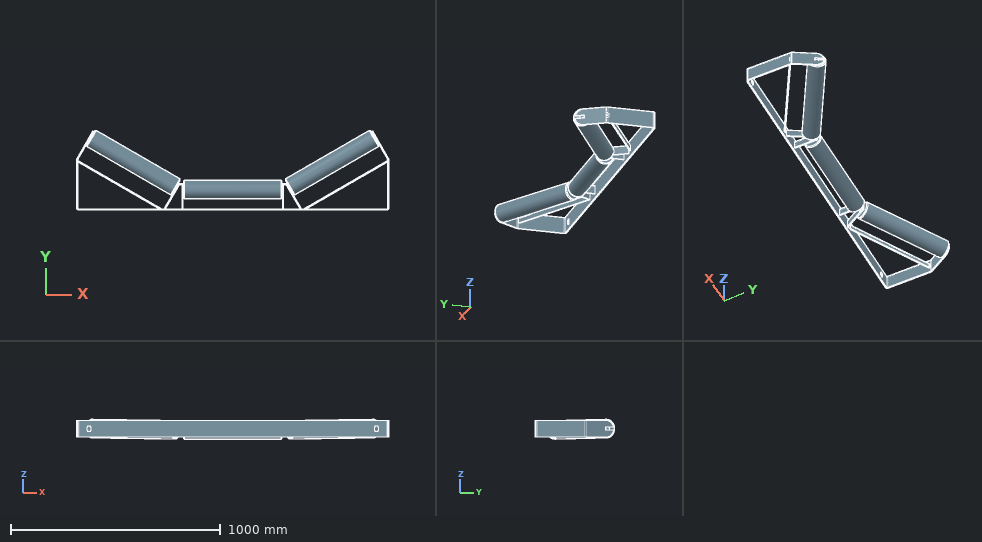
import cadquery as cq
import math

half_length = 745.0
strip_thickness = 6.0
strip_height = 80.0
strip_bottom = 9.7
strip_middle = strip_bottom + strip_height / 2
corner_radius = 12.0
bend_radius = 21.0

trough_angle = 30.0
forward_tilt = 0.74
roller_radius = 45.0
roller_length = 470.0
roller_chamfer = 5.0
center_axis_y = 98.0
wing_middle_x = 474.0
wing_middle_y = 226.0
wing_rise = 3.3

bracket_spacing = 474.0
axle_radius = 10.0
axle_flat_width = 13.0
axle_length = bracket_spacing + 2 * strip_thickness
slot_cut_length = 60.0
slot_cut_overrun = 1.0

tip_drop = 6.0

inner_bracket_top = 127.0
inner_bracket_height = 40.0
brace_height = 25.0
brace_upper_y = 237.0

mounting_slot_x = 685.0
mounting_slot_width = 18.0
mounting_slot_height = 27.0

along = (math.cos(math.radians(trough_angle)), -math.sin(math.radians(trough_angle)))
upward = (-along[1], along[0])


def left_wing_point(distance):
    """Point on the left wing axis, measured inwards from the middle of its roller."""
    return (-wing_middle_x + distance * along[0], wing_middle_y + distance * along[1])


def slide_to_x(point, direction, x):
    """Where the line through point along direction reaches the given X."""
    return (x, point[1] + (x - point[0]) * direction[1] / direction[0])


def slide_to_y(point, direction, y):
    """Where the line through point along direction reaches the given Y."""
    return (point[0] + (y - point[1]) * direction[0] / direction[1], y)


def mirrored(points):
    """The same path on the right-hand side, walked the other way."""
    return [(-x, y) for x, y in reversed(points)]


def strip(path, height):
    """Bar on edge with mitred corners; its thickness lies on the left of the path."""
    normals = []
    for (x0, y0), (x1, y1) in zip(path, path[1:]):
        run = math.hypot(x1 - x0, y1 - y0)
        normals.append(((y0 - y1) / run, (x1 - x0) / run))
    before = [normals[0]] + normals
    after = normals + [normals[-1]]
    inner = []
    for (x, y), a, b in zip(path, before, after):
        miter = strip_thickness / (1 + a[0] * b[0] + a[1] * b[1])
        inner.append((x + miter * (a[0] + b[0]), y + miter * (a[1] + b[1])))
    return (
        cq.Workplane("XY", origin=(0, 0, strip_middle - height / 2))
        .polyline(path + inner[::-1])
        .close()
        .extrude(height)
    )


def place(body, side):
    """Move a body built along X to the left wing (-1), the centre (0) or the right wing (1)."""
    if side == 0:
        return body.translate((0, center_axis_y, roller_radius))
    return (
        body.rotate((0, 0, 0), (0, 1, 0), -side * forward_tilt)
        .rotate((0, 0, 0), (0, 0, 1), side * trough_angle)
        .translate((side * wing_middle_x, wing_middle_y, roller_radius + wing_rise))
    )


def make_roller(side):
    shell = (
        cq.Workplane("YZ", origin=(-roller_length / 2, 0, 0))
        .circle(roller_radius)
        .extrude(roller_length)
        .faces("|X")
        .chamfer(roller_chamfer)
    )
    flats = cq.Workplane("XY").box(axle_length, 2 * axle_radius, axle_flat_width)
    axle = (
        cq.Workplane("YZ", origin=(-axle_length / 2, 0, 0))
        .circle(axle_radius)
        .extrude(axle_length)
        .intersect(flats)
    )
    return place(shell.union(axle), side)


def make_axle_slots(side):
    """Cutters for the two bracket slots of one roller, as wide as the axle flats."""
    reach = strip_thickness + 2 * slot_cut_overrun
    slots = (
        cq.Workplane("XY", origin=(0, slot_cut_length / 2 - axle_radius, 0))
        .pushPoints([(end * (bracket_spacing + strip_thickness) / 2, 0) for end in (-1, 1)])
        .box(reach, slot_cut_length, axle_flat_width)
    )
    return place(slots, side)


def make_bent_strip():
    """Base, uprights and outer brackets, with a round tip just below each outer axle end."""
    axle_end = left_wing_point(-axle_length / 2)
    bracket_outside = (axle_end[0] - tip_drop * upward[0], axle_end[1] - tip_drop * upward[1])
    bend = slide_to_x(bracket_outside, upward, -half_length)
    base_corner = (-half_length, 0)
    left_path = [bracket_outside, bend, base_corner]
    body = strip(left_path + mirrored(left_path), strip_height)

    for (x, y), radius in ((bend, bend_radius), (base_corner, corner_radius)):
        for side in (-1, 1):
            outer_edge = cq.NearestToPointSelector((-side * x, y, strip_middle))
            body = body.edges(outer_edge).fillet(radius)
    for side in (-1, 1):
        tip_plane = cq.Plane(
            origin=(-side * bracket_outside[0], bracket_outside[1], strip_middle),
            xDir=(0, 0, 1),
            normal=(-side * along[0], along[1], 0),
        )
        body = body.union(cq.Workplane(tip_plane).circle(strip_height / 2).extrude(strip_thickness))

    mounting_slots = (
        cq.Workplane("XZ", origin=(0, 0, strip_middle))
        .pushPoints([(-mounting_slot_x, 0), (mounting_slot_x, 0)])
        .slot2D(mounting_slot_height, mounting_slot_width, 90)
        .extrude(-strip_thickness)
    )
    return body.cut(mounting_slots)


def make_left_brace():
    """Sloping bar parallel to the left roller, trimmed to the upright and the base."""
    upright_face = -half_length + strip_thickness
    upper_corner = (upright_face, brace_upper_y)
    lower_corner = (upright_face, brace_upper_y - strip_thickness / along[0])
    return (
        cq.Workplane("XY", origin=(0, 0, strip_middle - brace_height / 2))
        .polyline([
            upper_corner,
            lower_corner,
            slide_to_y(lower_corner, along, strip_thickness),
            slide_to_y(upper_corner, along, strip_thickness),
        ])
        .close()
        .extrude(brace_height)
    )


def make_frame():
    frame = make_bent_strip()

    wing_face = left_wing_point(bracket_spacing / 2)
    bracket_path = [
        (-bracket_spacing / 2, strip_thickness),
        (-bracket_spacing / 2, inner_bracket_top),
        slide_to_y(wing_face, upward, inner_bracket_top),
        slide_to_y(wing_face, upward, strip_thickness),
    ]
    for path in (bracket_path, mirrored(bracket_path)):
        frame = frame.union(strip(path, inner_bracket_height))

    left_brace = make_left_brace()
    frame = frame.union(left_brace).union(left_brace.mirror("YZ"))

    for side in (-1, 0, 1):
        frame = frame.cut(make_axle_slots(side))
    return frame


frame = make_frame()
rollers = [make_roller(side) for side in (-1, 0, 1)]

result = cq.Compound.makeCompound([frame.solids().val()] + [roller.solids().val() for roller in rollers])